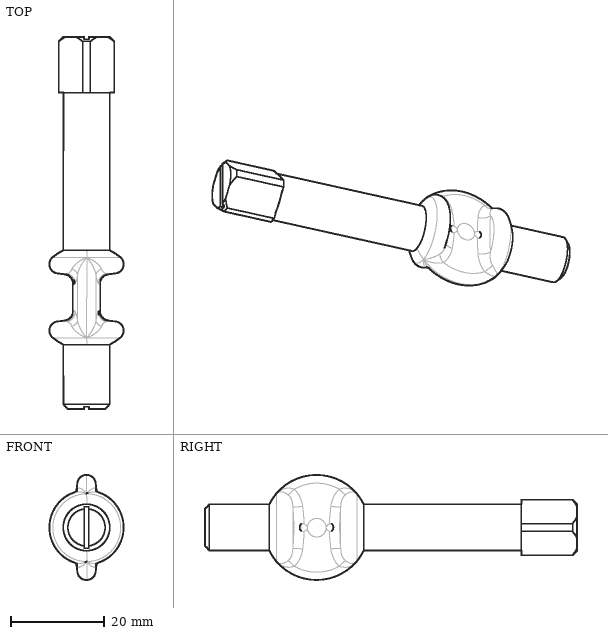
import cadquery as cq
import math


shaft_radius = 5.0
total_length = 80.0
rear_length = 24.0
front_length = total_length - rear_length
tip_chamfer = 1.0

head_length = 12.0
head_corner_radius = 6.0
head_across_flats = 9.6
head_chamfer = 1.0

slot_width = 1.0
slot_depth = 0.5

collar_radius = 8.0
ball_radius = collar_radius * math.sqrt(2)
rim_radius = 2.0
hub_radius = 2.0
hub_half_thickness = 3.0
tolerance = 1e-6
fillet_radius = 2.0
neck_fillet_radius = 1.5

disc_rim_centre = ball_radius - rim_radius
collar_rim_r = collar_radius - rim_radius
collar_rim_y = math.sqrt(disc_rim_centre**2 - collar_rim_r**2)

shaft_start = math.sqrt(ball_radius**2 - shaft_radius**2)


def tangent_angle(run, rise):
    """Direction, from the rim centre, where a line from the hub edge touches the rim circle.

    run and rise lead from the rim centre to the hub edge.
    """
    return math.atan2(rise, run) - math.acos(rim_radius / math.hypot(run, rise))


dish_normal = tangent_angle(hub_radius - disc_rim_centre, hub_half_thickness)
dish_slope = 1 / math.tan(dish_normal)


def on_rim(centre_r, centre_h, angle):
    """Point of a rim circle at the given angle from the radial direction."""
    return (centre_r + rim_radius * math.cos(angle), centre_h + rim_radius * math.sin(angle))


def make_disc():
    """Dished disc around X with a round rim, profile drawn as (x, z)."""
    touch_r, touch_x = on_rim(disc_rim_centre, 0, dish_normal)
    profile = (
        cq.Workplane("XZ")
        .moveTo(-hub_half_thickness, 0)
        .lineTo(-hub_half_thickness, hub_radius)
        .lineTo(-touch_x, touch_r)
        .threePointArc((0, ball_radius), (touch_x, touch_r))
        .lineTo(hub_half_thickness, hub_radius)
        .lineTo(hub_half_thickness, 0)
        .close()
    )
    return profile.revolve(360, (0, 0, 0), (1, 0, 0))


def make_collar():
    """Collar on the +Y side: ball flank, round rim, dished inner face and a stub of shaft."""
    inner_r, inner_y = on_rim(collar_rim_r, collar_rim_y, -dish_normal)
    hub_y = inner_y - dish_slope * (inner_r - hub_radius)
    outer_angle = math.atan2(collar_rim_y, collar_rim_r)
    outer = on_rim(collar_rim_r, collar_rim_y, outer_angle)
    middle = on_rim(collar_rim_r, collar_rim_y, (outer_angle - dish_normal) / 2)
    flank_angle = (outer_angle + math.atan2(shaft_start, shaft_radius)) / 2
    flank = (ball_radius * math.cos(flank_angle), ball_radius * math.sin(flank_angle))
    profile = (
        cq.Workplane("XY")
        .moveTo(0, hub_y)
        .lineTo(hub_radius, hub_y)
        .lineTo(inner_r, inner_y)
        .threePointArc(middle, outer)
        .threePointArc(flank, (shaft_radius, shaft_start))
        .lineTo(shaft_radius, ball_radius)
        .lineTo(0, ball_radius)
        .close()
    )
    return profile.revolve(360, (0, 0, 0), (0, 1, 0))


def make_neck():
    """Core joining the collars, flared by an arc tangent to itself and to the collar face."""
    face_r, face_y = on_rim(collar_rim_r, collar_rim_y, -dish_normal)
    flare_r = hub_half_thickness + neck_fillet_radius
    face_at_flare = face_y - dish_slope * (face_r - flare_r)
    flare_y = face_at_flare - neck_fillet_radius / math.sin(dish_normal)

    def on_flare(angle):
        return (
            flare_r + neck_fillet_radius * math.cos(angle),
            flare_y + neck_fillet_radius * math.sin(angle),
        )

    face_angle = math.pi - dish_normal
    profile = (
        cq.Workplane("XY")
        .lineTo(hub_half_thickness, 0)
        .lineTo(hub_half_thickness, flare_y)
        .threePointArc(on_flare((math.pi + face_angle) / 2), on_flare(face_angle))
        .lineTo(on_flare(face_angle)[0], collar_rim_y)
        .lineTo(0, collar_rim_y)
        .close()
    )
    half = profile.revolve(360, (0, 0, 0), (0, 1, 0))
    return half.union(half.mirror("XZ"))


def make_joint_quarter():
    """The +X +Y quarter of the joint, with disc and collar filleted together.

    The fillet narrows to a point at X = 0, where the two rims become tangent, so it is made
    on a quarter that ends there.
    """
    quarter = keep_quarter(make_disc().union(make_collar()))
    seam = [edge for edge in quarter.edges("%BSPLINE").vals() if not lies_on_centre_plane(edge)]
    quarter = quarter.newObject(seam).fillet(fillet_radius)
    return quarter.union(keep_quarter(make_neck()))


def keep_quarter(body):
    """The part of a body at positive X, from Y = 0 to where the shaft starts."""
    box = cq.Workplane("XY").box(
        collar_radius, shaft_start, 2 * ball_radius, centered=(False, False, True)
    )
    return body.intersect(box)


def lies_on_centre_plane(edge):
    """Whether an edge lies in the plane X = 0."""
    return abs(edge.positionAt(0.5).x) < tolerance


def make_joint():
    """Whole joint, its skin sewn from the quarter and turned copies of it.

    Each quarter is symmetric about Z = 0, so half turns about X and Y bring it to the others.
    """
    quarter_skin = make_joint_quarter().faces("not(<X or <Y)").vals()
    origin = cq.Vector(0, 0, 0)
    turned_skin = [face.rotate(origin, cq.Vector(1, 0, 0), 180) for face in quarter_skin]
    right_half = cq.Shell.makeShell(quarter_skin + turned_skin).clean()
    left_half = right_half.rotate(origin, cq.Vector(0, 1, 0), 180)
    skin = cq.Shell.makeShell(right_half.Faces() + left_half.Faces())
    return cq.Workplane(cq.Solid.makeSolid(skin))


def make_front_shaft():
    """Round shaft from the joint to the head."""
    length = front_length - head_length - shaft_start
    return cq.Workplane("XZ", origin=(0, shaft_start, 0)).circle(shaft_radius).extrude(-length)


def make_rear_shaft():
    """Round shaft from the joint to its chamfered -Y end."""
    length = rear_length - shaft_start
    shaft = cq.Workplane("XZ", origin=(0, -shaft_start, 0)).circle(shaft_radius).extrude(length)
    return shaft.faces("<Y").chamfer(tip_chamfer)


def make_head():
    """Square head standing on its corner, the corners rounded and chamfered at the end."""
    base_y = front_length - head_length
    square = (
        cq.Workplane("XZ", origin=(0, base_y, 0))
        .transformed(rotate=(0, 0, 45))
        .rect(head_across_flats, head_across_flats)
        .extrude(-head_length)
    )
    blank = (
        cq.Workplane("XZ", origin=(0, base_y, 0))
        .circle(head_corner_radius)
        .extrude(-head_length)
        .faces(">Y")
        .chamfer(head_chamfer)
    )
    return square.intersect(blank)


def make_slot(end_y):
    """Cutter for a slot along Z across the shaft end at end_y."""
    return cq.Workplane("XY").box(slot_width, 2 * slot_depth, 2 * ball_radius).translate((0, end_y, 0))


result = make_joint()
for part in (make_front_shaft(), make_rear_shaft(), make_head()):
    result = result.union(part, clean=False)
for end_y in (-rear_length, front_length):
    result = result.cut(make_slot(end_y), clean=False)